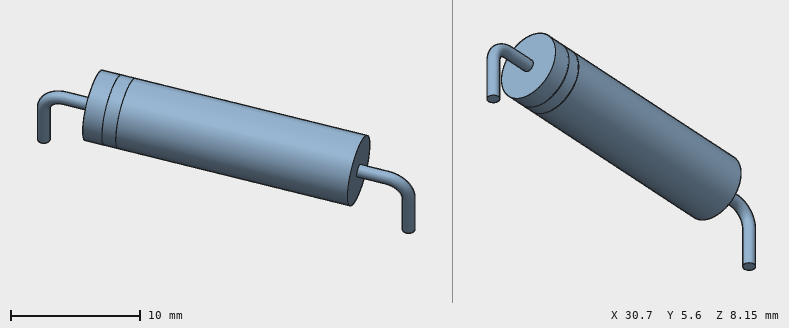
import cadquery as cq

overall_length = 30.65
overall_height = 8.15
body_diameter = 5.6
body_length = 21.52
wire_diameter = 1.0
bend_radius = 1.75
band_offset = 1.55
band_width = 1.13
band_thickness = 0.1

body_radius = body_diameter / 2
wire_radius = wire_diameter / 2
body_end_x = body_length / 2
leg_x = overall_length / 2 - wire_radius
leg_bottom_z = body_radius - overall_height
band_start_x = -body_end_x + band_offset


def x_cylinder(start_x, length, radius):
    """Solid cylinder along the X axis, starting at start_x."""
    return cq.Workplane("YZ", origin=(start_x, 0, 0)).circle(radius).extrude(length)


def make_band():
    """Polarity ring, flush with the body's outer surface."""
    outer = x_cylinder(band_start_x, band_width, body_radius)
    bore = x_cylinder(band_start_x, band_width, body_radius - band_thickness)
    return outer.cut(bore).solids()


def make_lead(side):
    """Wire lead from the body's end face, bent down through a right angle; side is -1 or +1 along X."""
    bend_start = (side * (leg_x - bend_radius), 0)
    bend_end = (side * leg_x, -bend_radius)
    path = (
        cq.Workplane("XZ")
        .moveTo(side * body_end_x, 0)
        .lineTo(*bend_start)
        .tangentArcPoint(bend_end, relative=False)
        .lineTo(side * leg_x, leg_bottom_z)
    )
    profile = cq.Workplane("YZ", origin=(side * body_end_x, 0, 0)).circle(wire_radius)
    return profile.sweep(path)


def make_body(band):
    """Cylindrical body with a groove for the band."""
    return x_cylinder(-body_end_x, body_length, body_radius).cut(band).solids()


band = make_band()
leads = [make_lead(side) for side in (-1, 1)]
body = make_body(band)

result = cq.Compound.makeCompound([body.val(), band.val(), *[lead.val() for lead in leads]])